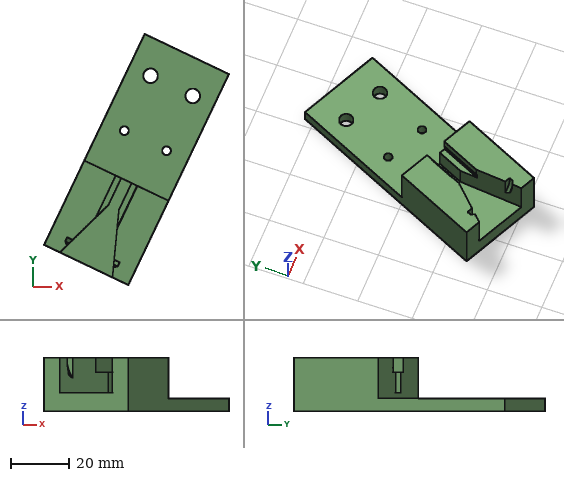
import cadquery as cq
import math

heading = -25.5

overall_y = 86.2

width = 32.1
turn = math.radians(-heading)
length = (overall_y - width * math.sin(turn)) / math.cos(turn)
plate_height = 4.5
block_length = 32.1
total_height = 18.45
center_x = width / 2

pocket_depth = 12.0
pocket_floor = total_height - pocket_depth
mouth_width = 20.0
throat_width = 4.0
taper_length = 21.9

channel_width = 8.1
channel_depth = 5.0
channel_start = 15.5

undercut_height = 1.55
undercut_depth = 0.2

disc_radius = 10.0
disc_thickness = 1.55
disc_front = 4.2
disc_axis_depth = 0.8
cone_length = 1.9
cone_front_radius = 7.8

hole_spacing = 16.0
small_hole_diameter = 2.9
small_hole_y = 47.2
large_hole_diameter = 4.9
large_hole_y = 68.1


def box(x_size, y_size, z_size, y_start=0, z_start=0):
    """Box centred across the width of the part."""
    return (
        cq.Workplane("XY")
        .box(x_size, y_size, z_size, centered=(True, False, False))
        .translate((center_x, y_start, z_start))
    )


def funnel():
    """Tapered mouth joined to the narrow throat."""
    half_mouth = mouth_width / 2
    half_throat = throat_width / 2
    return (
        cq.Workplane("XY", origin=(center_x, 0, pocket_floor))
        .moveTo(-half_mouth, 0)
        .lineTo(half_mouth, 0)
        .lineTo(half_throat, taper_length)
        .lineTo(half_throat, block_length)
        .lineTo(-half_throat, block_length)
        .lineTo(-half_throat, taper_length)
        .close()
        .extrude(pocket_depth)
    )


def upper_channel():
    channel_length = block_length - channel_start
    return box(channel_width, channel_length, channel_depth, channel_start, total_height - channel_depth)


def channel_undercut():
    """Strip that widens the foot of the channel on its right side only."""
    strip_length = block_length - channel_start
    ledge_height = total_height - channel_depth
    strip = box(channel_width, strip_length, undercut_height, channel_start, ledge_height)
    return strip.translate((undercut_depth, 0, 0))


def disc_seat():
    axis_height = total_height - disc_axis_depth
    disc_back = disc_front + disc_thickness
    profile = (
        cq.Workplane("XY")
        .moveTo(0, disc_back)
        .lineTo(disc_radius, disc_back)
        .lineTo(disc_radius, disc_front)
        .lineTo(cone_front_radius, disc_front - cone_length)
        .lineTo(0, disc_front - cone_length)
        .close()
    )
    return profile.revolve(360, (0, 0, 0), (0, 1, 0)).translate((center_x, 0, axis_height))


def hole_pair(diameter, y):
    return (
        cq.Workplane("XY", origin=(center_x, y, 0))
        .pushPoints([(-hole_spacing / 2, 0), (hole_spacing / 2, 0)])
        .circle(diameter / 2)
        .extrude(plate_height)
    )


body = box(width, length, plate_height).union(box(width, block_length, total_height))
body = body.cut(funnel()).cut(upper_channel()).cut(channel_undercut()).cut(disc_seat())
body = body.cut(hole_pair(small_hole_diameter, small_hole_y))
body = body.cut(hole_pair(large_hole_diameter, large_hole_y))

result = body.rotate((0, 0, 0), (0, 0, 1), heading)